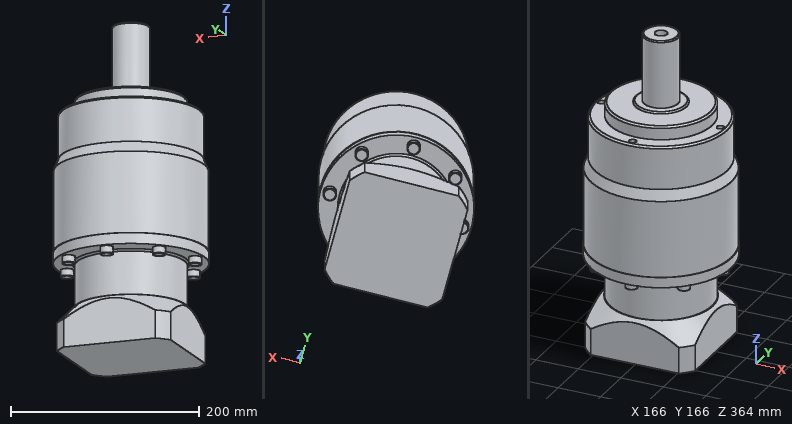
import cadquery as cq
import math

TOTAL_HEIGHT = 364.0
COLLAR_TOP = 284.5
PILOT_TOP = 283.0
HEAD_TOP = 267.0
TAPER_TOP = 217.0
TAPER_BOTTOM = 205.0
RING_TOP = 115.0
RING_BOTTOM = 103.0
SEAT_BOTTOM = 101.0
NECK_BOTTOM = 53.0

RING_RADIUS = 83.0
RING_STEP = 0.55
HOUSING_RADIUS = RING_RADIUS - RING_STEP
HEAD_RADIUS = 77.5
PILOT_RADIUS = 60.0
COLLAR_RADIUS = 30.0
SHAFT_RADIUS = 20.0
NECK_RADIUS = PILOT_RADIUS
SEAT_RADIUS = NECK_RADIUS + RING_BOTTOM - SEAT_BOTTOM

EDGE_CHAMFER = 2.2
COLLAR_CHAMFER = COLLAR_TOP - PILOT_TOP
SHAFT_CHAMFER = 1.5

FLANGE_WIDTH = 129.5
FLANGE_TOP_RADIUS = 60.8
FLANGE_CORNER_TOP = NECK_BOTTOM - (RING_RADIUS - FLANGE_TOP_RADIUS)

SCREW_COUNT = 8
SCREW_CIRCLE_RADIUS = 72.8
SCREW_HEAD_RADIUS = 7.0
SCREW_HEAD_BOTTOM = 95.0
SCREW_HEAD_CHAMFER = 0.7

DRILL_POINT_ANGLE = 118.0
MOUNT_HOLE_COUNT = 4
MOUNT_CIRCLE_RADIUS = 70.0
MOUNT_HOLE_RADIUS = 4.0
MOUNT_HOLE_DEPTH = 20.0
SHAFT_HOLE_RADIUS = 7.0
SHAFT_HOLE_DEPTH = 36.5


def circle_points(radius, count):
    """Evenly spaced points on a circle, the first on +X."""
    step = 2 * math.pi / count
    return [(radius * math.cos(i * step), radius * math.sin(i * step)) for i in range(count)]


def revolve_profile(points):
    """Turn a closed (radius, height) outline about the Z axis."""
    return cq.Workplane("XZ").polyline(points).close().revolve(360, (0, 0, 0), (0, 1, 0))


def turned_body():
    """Shaft, collar, pilot, housing, ring and neck, down to the flange."""
    return revolve_profile([
        (0, NECK_BOTTOM),
        (NECK_RADIUS, NECK_BOTTOM),
        (NECK_RADIUS, SEAT_BOTTOM),
        (SEAT_RADIUS, RING_BOTTOM),
        (RING_RADIUS, RING_BOTTOM),
        (RING_RADIUS, RING_TOP),
        (HOUSING_RADIUS, RING_TOP),
        (HOUSING_RADIUS, TAPER_BOTTOM),
        (HEAD_RADIUS, TAPER_TOP),
        (HEAD_RADIUS, HEAD_TOP - EDGE_CHAMFER),
        (HEAD_RADIUS - EDGE_CHAMFER, HEAD_TOP),
        (PILOT_RADIUS, HEAD_TOP),
        (PILOT_RADIUS, PILOT_TOP - EDGE_CHAMFER),
        (PILOT_RADIUS - EDGE_CHAMFER, PILOT_TOP),
        (COLLAR_RADIUS, PILOT_TOP),
        (COLLAR_RADIUS - COLLAR_CHAMFER, COLLAR_TOP),
        (SHAFT_RADIUS, COLLAR_TOP),
        (SHAFT_RADIUS, TOTAL_HEIGHT - SHAFT_CHAMFER),
        (SHAFT_RADIUS - SHAFT_CHAMFER, TOTAL_HEIGHT),
        (0, TOTAL_HEIGHT),
    ])


def mounting_flange():
    """Square block trimmed by a cylinder with a conical top."""
    block = cq.Workplane("XY").rect(FLANGE_WIDTH, FLANGE_WIDTH).extrude(NECK_BOTTOM)
    envelope = revolve_profile([
        (0, 0),
        (RING_RADIUS, 0),
        (RING_RADIUS, FLANGE_CORNER_TOP),
        (FLANGE_TOP_RADIUS, NECK_BOTTOM),
        (0, NECK_BOTTOM),
    ])
    return block.intersect(envelope)


def screw_heads():
    """Ring of screw heads standing below the housing ring."""
    return (
        cq.Workplane("XY", origin=(0, 0, SCREW_HEAD_BOTTOM))
        .pushPoints(circle_points(SCREW_CIRCLE_RADIUS, SCREW_COUNT))
        .circle(SCREW_HEAD_RADIUS)
        .extrude(RING_BOTTOM - SCREW_HEAD_BOTTOM)
        .faces("<Z")
        .chamfer(SCREW_HEAD_CHAMFER)
    )


def drilled_hole(radius, depth, top):
    """Cutter on the Z axis: a cylinder with a drill point at its lower end."""
    point_height = radius / math.tan(math.radians(DRILL_POINT_ANGLE / 2))
    floor = top - depth
    return revolve_profile([(0, top), (radius, top), (radius, floor), (0, floor - point_height)])


result = turned_body().union(mounting_flange()).union(screw_heads())
result = result.cut(drilled_hole(SHAFT_HOLE_RADIUS, SHAFT_HOLE_DEPTH, TOTAL_HEIGHT))
mount_hole = drilled_hole(MOUNT_HOLE_RADIUS, MOUNT_HOLE_DEPTH, HEAD_TOP)
for x, y in circle_points(MOUNT_CIRCLE_RADIUS, MOUNT_HOLE_COUNT):
    result = result.cut(mount_hole.translate((x, y, 0)))